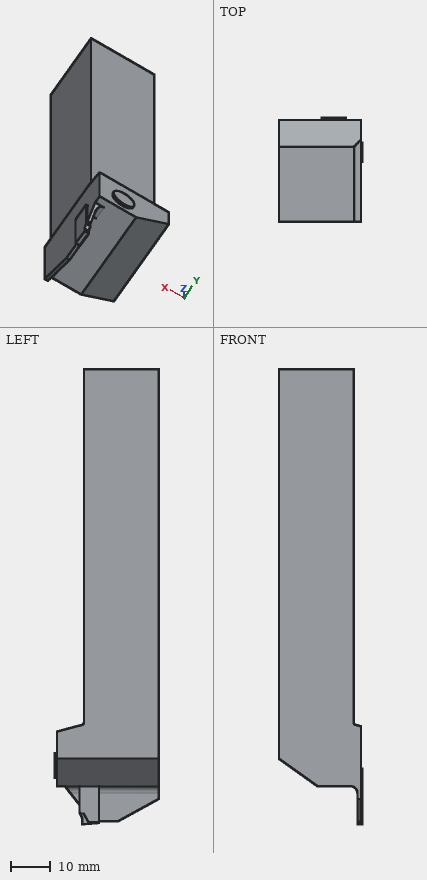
import cadquery as cq
import math

total_length = 114.3
shank_size = 18.85

head_width = 20.65
head_depth = 25.6
shoulder_z = total_length - 89.15
shoulder_angle = math.radians(15)
shoulder_root_radius = 0.5
head_foot_z = 9.55
relief_width = 9.75
relief_height = 6.95

blade_thickness = 0.95
blade_inner_x = head_width - blade_thickness
blade_foot_z = 0.8
blade_root_radius = 1.65
blade_front_z = 6.4
blade_foot_front_y = 10.2
blade_back_y = 23.55
blade_foot_back_y = 16.75

insert_outer_x = 21.06
insert_front_y = 15.0
insert_width = 4.95
insert_back_y = insert_front_y + insert_width
insert_top_z = 14.1
insert_heel_z = 0.35
edge_setback = 0.7
rake_height = 3.1
edge_land_height = 1.5
clearance_depth = 0.08
clearance_top_z = 2.75
clearance_top_front_y = 18.9
clearance_low_z = 0.65
clearance_low_y = 17.7

screw_diameter = 6.2
screw_height = 0.57
screw_x = 13.75
screw_z = 14.8


def box(x0, x1, y0, y1, z0, z1):
    """Box between two opposite corners."""
    return cq.Workplane("XY").box(x1 - x0, y1 - y0, z1 - z0, centered=False).translate((x0, y0, z0))


def make_shank():
    return box(0, shank_size, 0, shank_size, shoulder_z, total_length)


def make_head():
    """Head with two sloping shoulders that meet in a mitre, and a relief under its -X side."""
    fall = math.tan(shoulder_angle)
    side_profile = (
        cq.Workplane("XZ")
        .polyline([
            (0, shoulder_z),
            (shank_size, shoulder_z),
            (head_width, shoulder_z - (head_width - shank_size) * fall),
            (head_width, head_foot_z),
            (relief_width, head_foot_z),
            (0, head_foot_z + relief_height),
        ])
        .close()
        .extrude(-head_depth)
    )
    back_profile = (
        cq.Workplane("YZ")
        .polyline([
            (0, shoulder_z),
            (shank_size, shoulder_z),
            (head_depth, shoulder_z - (head_depth - shank_size) * fall),
            (head_depth, head_foot_z),
            (0, head_foot_z),
        ])
        .close()
        .extrude(head_width)
    )
    return side_profile.intersect(back_profile)


def make_blade():
    """Blade and its root fillet, trimmed to the blade's outline."""
    wall = (
        cq.Workplane("XZ")
        .moveTo(head_width, head_foot_z)
        .lineTo(blade_inner_x - blade_root_radius, head_foot_z)
        .radiusArc((blade_inner_x, head_foot_z - blade_root_radius), blade_root_radius)
        .lineTo(blade_inner_x, blade_foot_z)
        .lineTo(head_width, blade_foot_z)
        .close()
        .extrude(-head_depth)
    )
    outline = (
        cq.Workplane("YZ")
        .polyline([
            (0, head_foot_z),
            (0, blade_front_z),
            (blade_foot_front_y, blade_foot_z),
            (blade_foot_back_y, blade_foot_z),
            (blade_back_y, head_foot_z),
        ])
        .close()
        .extrude(head_width)
    )
    return wall.intersect(outline)


def make_screw_head():
    return (
        cq.Workplane("XZ", origin=(screw_x, head_depth, screw_z))
        .circle(screw_diameter / 2)
        .extrude(-screw_height)
    )


def make_insert_seat():
    """Slot for the insert, also opened through the blade's root fillet below the head."""
    slot = box(blade_inner_x, insert_outer_x, insert_front_y, insert_back_y, 0, insert_top_z)
    fillet_gap = box(0, insert_outer_x, insert_front_y, insert_back_y, 0, head_foot_z)
    return slot.union(fillet_gap)


def make_shank_and_head():
    """Shank and head joined, with a fillet in the corner where the shoulders meet the shank."""
    body = make_shank().union(make_head())
    corner_edges = cq.selectors.BoxSelector(
        (0, 0, shoulder_z - shoulder_root_radius),
        (head_width, head_depth, shoulder_z + shoulder_root_radius),
    )
    return body.edges("|X or |Y").edges(corner_edges).fillet(shoulder_root_radius)


def make_holder():
    return (
        make_shank_and_head()
        .union(make_blade())
        .union(make_screw_head())
        .cut(make_insert_seat())
    )


def make_edge_clearance():
    """Shallow recess in the -X side of the insert, taller beside the cutting edge."""
    return (
        cq.Workplane("YZ", origin=(blade_inner_x, 0, 0))
        .polyline([
            (insert_back_y, clearance_top_z),
            (clearance_top_front_y, clearance_top_z),
            (clearance_low_y, clearance_low_z),
            (insert_front_y, clearance_low_z),
            (insert_front_y, 0),
            (insert_back_y, 0),
        ])
        .close()
        .extrude(clearance_depth)
    )


def make_insert():
    """Strip with a raked back corner that leaves the cutting edge at the foot."""
    strip = (
        cq.Workplane("YZ", origin=(blade_inner_x, 0, 0))
        .polyline([
            (insert_front_y, insert_heel_z),
            (insert_front_y, insert_top_z),
            (insert_back_y, insert_top_z),
            (insert_back_y, rake_height),
            (insert_back_y - edge_setback, edge_land_height),
            (insert_back_y - edge_setback, 0),
        ])
        .close()
        .extrude(insert_outer_x - blade_inner_x)
    )
    return strip.cut(make_edge_clearance())


holder = make_holder()
insert = make_insert()

result = cq.Compound.makeCompound([holder.val(), insert.val()])